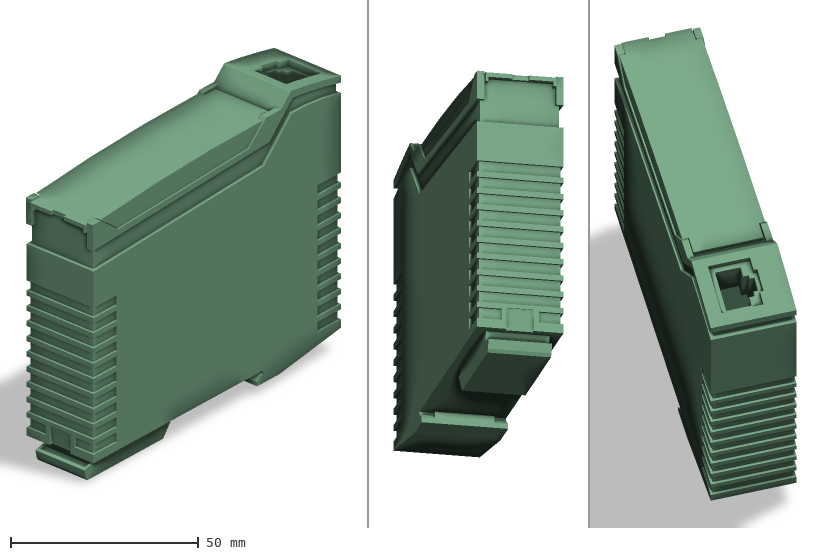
import cadquery as cq
import math


width = 23.6
back_y = 101.4
total_height = 86.7
half_width = width / 2

case_front_y = 1.0
case_bottom_z = 6.7
top_slope = math.tan(math.radians(3))
case_knee = (70.2, 68.4)
case_rise = 11.4
case_crown_mid = (92.3, 79.3)
case_back_z = 77.8

hook_bottom_z = 2.8
hook_tip_y = 67.3
hook_slope_end_y = 76.4
hook_slot_y = 69.9
hook_slot_z = 5.6
hook_bevel_y = 69.0
hook_tip_z = 4.2
lug_half_width = 8.1
lug_outline = [
    (hook_bevel_y, hook_slot_z), (hook_tip_y, hook_tip_z),
    (67.3, 5.8), (67.9, 6.4), (68.3, 6.4),
]

foot_width = 17.3
foot_root_y = 4.0
foot_neck = (4.6, 4.3)
foot_outline = [
    (34.2, case_bottom_z), (34.2, 5.5), (36.7, 5.1), (32.9, 0), (2.1, 0), (1.5, 0.9),
    (0.9, 3.4), foot_neck, (foot_root_y, case_bottom_z),
]
trench_half_width = 7.9
trench_front_y = 2.0
trench_floor_z = 3.0

groove_count = 10
groove_height = 3.0
groove_depth = 0.7
groove_length = 9.5
lowest_groove_z = 9.2
highest_groove_z = 50.7
groove_pitch = (highest_groove_z - lowest_groove_z) / (groove_count - 1)
lowest_groove_inner_x = 5.1

window_width = 7.4
window_top_z = 12.7
window_top_y = 1.3
window_bottom_y = 2.1

core_inset = 1.0
core_half_width = half_width - core_inset
core_front_y = case_front_y + core_inset
core_back_y = back_y - core_inset
skirt_knee = (72.3, 74.8)
skirt_rise = 9.5
skirt_crown_mid = (90.8, 83.1)
skirt_back_z = 80.9
crown_peak_y = 81.3
bevel_y = 80.9
bevel_z = 86.5
crown_mid = (90.3, 85.3)
crown_back_z = 83.0
shoulder_y = 77.1
shoulder_z = 82.7
post_front_y = 0.7
post_top_z = 79.0
post_width = 2.0
shoulder_width = 1.8
channel_half_width = half_width - post_width
crown_slope = (bevel_z - shoulder_z) / (bevel_y - shoulder_y)

lid_gap = 0.2
lid_thickness = 1.2
lid_back_y = 75.0
lid_back_z = 82.1
lid_mid = (40.6, 81.6)
lid_front_z = 78.5
lid_side_inset = 0.4
lid_half_width = half_width - lid_side_inset
lip_side_gap = 0.15
lip_half_width = channel_half_width - lip_side_gap
lip_bottom_z = 76.0
lip_leg_width = 0.7
notch_width = 4.6
notch_depth = 0.9
recess_back = (63.9, 76.1)
recess_front = (11.1, 73.5)
recess_back_top = (71.1, shoulder_z)
recess_front_top = (4.0, post_top_z)

socket_y = 90.7
socket_z = 85.2
socket_tilt = math.radians(10)
pocket_depth = 2.0
jack_depth = 13.0
socket_headroom = 2.0
pocket_rectangles = [
    (-3.7, 7.9, -7.2, 7.2),
    (-4.7, -3.7, -3.3, 3.3),
]
jack_rectangles = [
    (-0.8, 6.2, -5.9, 5.9),
    (-2.3, -0.8, -3.0, 3.3),
    (-3.7, -2.3, -2.0, 1.9),
]


def extrude_across(profile, half):
    """Extrude a Y-Z profile to the same distance on both sides of X = 0."""
    return profile.extrude(half, both=True)


def box(x0, x1, y0, y1, z0, z1):
    return cq.Workplane("XY").box(x1 - x0, y1 - y0, z1 - z0, centered=False).translate((x0, y0, z0))


def point_beyond(start, end, z):
    """Point at height z on the straight line through start and end."""
    share = (z - start[1]) / (end[1] - start[1])
    return (start[0] + share * (end[0] - start[0]), z)


def case_body():
    front_z = case_knee[1] - (case_knee[0] - case_front_y) * top_slope
    profile = (
        cq.Workplane("YZ")
        .moveTo(case_front_y, case_bottom_z)
        .lineTo(case_front_y, front_z)
        .lineTo(*case_knee)
        .lineTo(case_knee[0] + case_rise, case_knee[1] + case_rise)
        .threePointArc(case_crown_mid, (back_y, case_back_z))
        .lineTo(back_y, case_bottom_z)
        .lineTo(hook_slope_end_y, hook_bottom_z)
        .lineTo(hook_tip_y, hook_bottom_z)
        .lineTo(hook_tip_y, hook_tip_z)
        .lineTo(hook_bevel_y, hook_slot_z)
        .lineTo(hook_slot_y, hook_slot_z)
        .lineTo(hook_slot_y, case_bottom_z)
        .close()
    )
    return extrude_across(profile, half_width)


def hook_lug():
    return extrude_across(cq.Workplane("YZ").polyline(lug_outline).close(), lug_half_width)


def rail_foot():
    foot = extrude_across(cq.Workplane("YZ").polyline(foot_outline).close(), foot_width / 2)
    trench_back = point_beyond((foot_root_y, case_bottom_z), foot_neck, trench_floor_z)
    trench = cq.Workplane("YZ").polyline([
        (trench_front_y, trench_floor_z), trench_back, foot_neck, (trench_front_y, foot_neck[1]),
    ]).close()
    return foot.cut(extrude_across(trench, trench_half_width))


def end_groove(z, wall_y, inward):
    """U-shaped groove round one end of the case; inward is +1 from the front, -1 from the back."""
    low_y, high_y = sorted((wall_y, wall_y + inward * groove_length))
    floor_low_y, floor_high_y = sorted((wall_y, wall_y + inward * groove_depth))
    top_z = z + groove_height
    inner_x = half_width - groove_depth
    across = box(-half_width, half_width, floor_low_y, floor_high_y, z, top_z)
    left = box(-half_width, -inner_x, low_y, high_y, z, top_z)
    right = box(inner_x, half_width, low_y, high_y, z, top_z)
    return across.union(left).union(right)


def tool_window():
    profile = cq.Workplane("YZ").polyline([
        (case_front_y, case_bottom_z), (window_bottom_y, case_bottom_z),
        (window_top_y, window_top_z), (case_front_y, window_top_z),
    ]).close()
    return extrude_across(profile, window_width / 2)


def lid_section(drop, front_y, rear_y, floor_z):
    """Block of lid width under the lid's curved top, lowered by drop."""
    profile = (
        cq.Workplane("YZ")
        .moveTo(0, lid_front_z - drop)
        .threePointArc((lid_mid[0], lid_mid[1] - drop), (lid_back_y, lid_back_z - drop))
        .lineTo(back_y, lid_back_z - drop)
        .lineTo(back_y, floor_z)
        .lineTo(0, floor_z)
        .close()
    )
    limits = box(-half_width, half_width, front_y, rear_y, floor_z, total_height)
    return extrude_across(profile, half_width).intersect(limits)


def crown_profile(start_y, start_z):
    """Open profile over the crown, from a start point on its front slope to its back edge."""
    return (
        cq.Workplane("YZ")
        .moveTo(start_y, start_z)
        .lineTo(bevel_y, bevel_z)
        .lineTo(crown_peak_y, total_height)
        .threePointArc(crown_mid, (back_y, crown_back_z))
    )


def cap_core():
    """Inset core, with a flat-sided crown and the curved bed that carries the lid."""
    floor_z = case_knee[1] - case_knee[0] * top_slope
    foot_y = bevel_y - (bevel_z - floor_z) / crown_slope
    crown = extrude_across(
        crown_profile(foot_y, floor_z).lineTo(back_y, floor_z).close(), core_half_width
    )
    bed = lid_section(lid_thickness, core_front_y, shoulder_y, floor_z)
    limits = box(-core_half_width, core_half_width, core_front_y, core_back_y, floor_z, total_height)
    return crown.union(bed).intersect(limits)


def lid_recess():
    top_z = total_height
    return cq.Workplane("YZ").polyline([
        recess_back, recess_front,
        point_beyond(recess_front, recess_front_top, top_z),
        point_beyond(recess_back, recess_back_top, top_z),
    ]).close()


def cap_skirt():
    """Full-width rim of the cap, with the side recess and the channel that take the lid."""
    front_z = skirt_knee[1] - (skirt_knee[0] - post_front_y) * top_slope
    profile = (
        crown_profile(shoulder_y, shoulder_z)
        .lineTo(back_y, skirt_back_z)
        .threePointArc(skirt_crown_mid, (skirt_knee[0] + skirt_rise, skirt_knee[1] + skirt_rise))
        .lineTo(*skirt_knee)
        .lineTo(post_front_y, front_z)
        .lineTo(post_front_y, post_top_z)
        .lineTo(*recess_front_top)
        .lineTo(*recess_back_top)
        .close()
    )
    channel_floor_z = case_knee[1]
    channel = extrude_across(
        cq.Workplane("YZ").polyline([
            (shoulder_y, shoulder_z),
            (shoulder_y - (shoulder_z - channel_floor_z) / crown_slope, channel_floor_z),
            (0, channel_floor_z), (0, shoulder_z),
        ]).close(),
        half_width - shoulder_width,
    )
    post_filler = box(channel_half_width, half_width, 0, recess_front_top[0], 0, total_height)
    channel = channel.cut(post_filler).cut(post_filler.mirror("YZ"))
    skirt = extrude_across(profile, half_width)
    return skirt.cut(extrude_across(lid_recess(), half_width)).cut(channel)


def socket_prisms():
    """Tilted pocket with a latch slot, and the stepped jack opening in its floor."""
    upward = cq.Vector(0, math.sin(socket_tilt), math.cos(socket_tilt))
    top = cq.Vector(0, socket_y, socket_z) + upward * socket_headroom
    plane = cq.Plane(origin=top, xDir=(1, 0, 0), normal=upward)
    prisms = []
    for rectangles, depth in ((pocket_rectangles, pocket_depth), (jack_rectangles, jack_depth)):
        for low_x, high_x, low_v, high_v in rectangles:
            prism = (
                cq.Workplane(plane)
                .center((low_x + high_x) / 2, (low_v + high_v) / 2)
                .rect(high_x - low_x, high_v - low_v)
                .extrude(-socket_headroom - depth)
            )
            prisms.append(prism)
    return prisms


def build_housing():
    """Case with its rail hook and foot, joined to the cap."""
    body = case_body().union(hook_lug()).union(rail_foot())
    for index in range(groove_count):
        z = lowest_groove_z + index * groove_pitch
        front = end_groove(z, case_front_y, 1)
        if index == 0:
            front = front.cut(
                box(-lowest_groove_inner_x, lowest_groove_inner_x, 0, back_y, 0, total_height)
            )
        body = body.cut(front).cut(end_groove(z, back_y, -1))
    body = body.cut(tool_window())
    body = body.union(cap_core()).union(cap_skirt())
    for prism in socket_prisms():
        body = body.cut(prism)
    return body


def build_lid():
    """Curved shell that rests on the cap core, with a front lip and two side walls."""
    plate = lid_section(0, 0, lid_back_y, lip_bottom_z)
    tongue = plate.intersect(box(-lip_half_width, lip_half_width, 0, back_y, 0, total_height))
    lip_hollow_half = lip_half_width - lip_leg_width
    tongue = tongue.cut(
        box(-lip_hollow_half, lip_hollow_half, 0, core_front_y, 0, lid_front_z - lid_thickness)
    )
    sides = extrude_across(lid_recess().offset2D(-lid_gap), lid_half_width)
    sides = sides.intersect(lid_section(0, 0, lid_back_y, recess_front[1]))
    notch = box(-notch_width / 2, notch_width / 2, 0, notch_depth, 0, total_height)
    return tongue.union(sides).cut(notch).cut(cap_core())


housing = build_housing()
lid = build_lid()
result = cq.Compound.makeCompound([housing.solids().val(), lid.solids().val()])